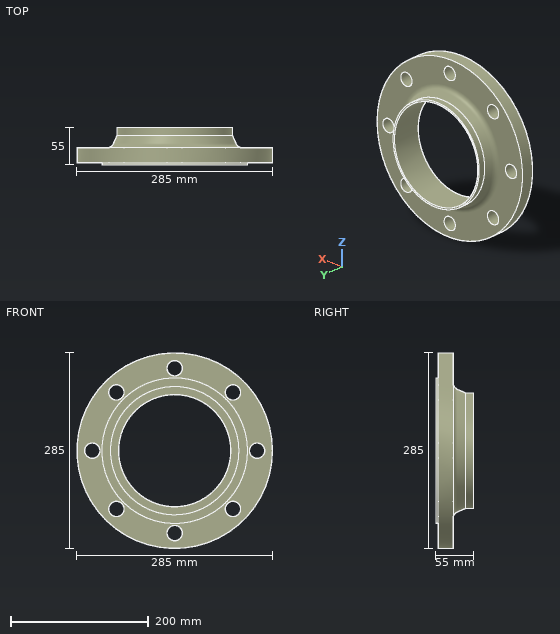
import cadquery as cq
import math

flange_diameter = 285.0
total_length = 55.0
raised_face_diameter = 212.0
raised_face_height = 3.0
plate_thickness = 22.2

neck_diameter = 168.7
neck_end_length = 12.0
cone_base_diameter = 179.0
root_height = 6.0

bore_diameter = 163.0
recess_diameter = 187.0
recess_depth = 3.0

bolt_circle_diameter = 240.0
bolt_hole_diameter = 22.0
bolt_hole_count = 8

plate_back = raised_face_height + plate_thickness
cone_base = plate_back + root_height
cone_top = total_length - neck_end_length

cone_spread = (cone_base_diameter - neck_diameter) / 2
cone_angle = math.atan2(cone_top - cone_base, cone_spread)
root_tangent = root_height / math.sin(cone_angle)
root_radius = cone_base_diameter / 2 + root_tangent * (1 + math.cos(cone_angle))


def make_body():
    """Revolve the outer outline (radius, y) about the Y axis."""
    profile = (
        cq.Workplane("XY")
        .lineTo(raised_face_diameter / 2, 0)
        .lineTo(raised_face_diameter / 2, raised_face_height)
        .lineTo(flange_diameter / 2, raised_face_height)
        .lineTo(flange_diameter / 2, plate_back)
        .lineTo(root_radius, plate_back)
        .tangentArcPoint((cone_base_diameter / 2, cone_base), relative=False)
        .lineTo(neck_diameter / 2, cone_top)
        .lineTo(neck_diameter / 2, total_length)
        .lineTo(0, total_length)
        .close()
    )
    return profile.revolve(360, (0, 0, 0), (0, 1, 0))


def make_cutter(diameter, length):
    """Solid cylinder running from the sealing face toward +Y."""
    return cq.Workplane("XZ").circle(diameter / 2).extrude(-length)


def make_bolt_holes():
    """Through holes evenly spaced on the bolt circle, the first on the X axis."""
    return (
        cq.Workplane("XZ")
        .polarArray(bolt_circle_diameter / 2, 0, 360, bolt_hole_count)
        .circle(bolt_hole_diameter / 2)
        .extrude(-plate_back)
    )


result = (
    make_body()
    .cut(make_cutter(bore_diameter, total_length))
    .cut(make_cutter(recess_diameter, recess_depth))
    .cut(make_bolt_holes())
)